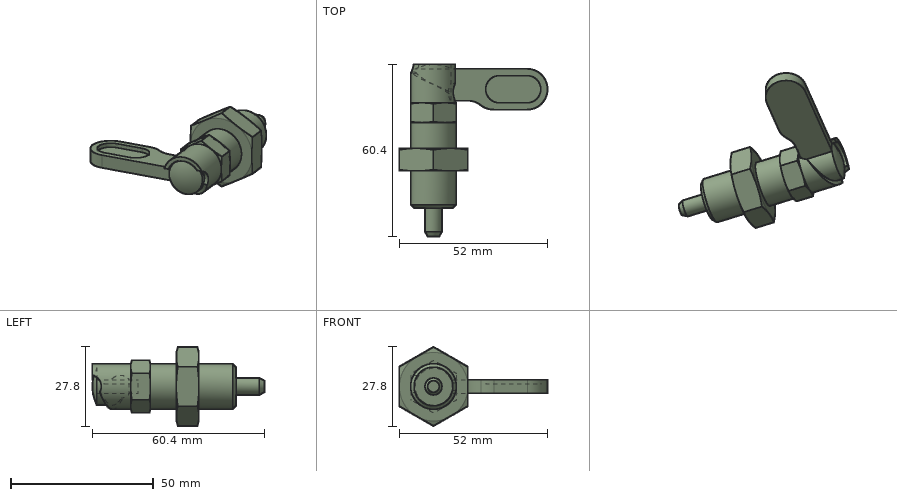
import cadquery as cq
import math


total_length = 60.4
body_radius = 16.0 / 2
body_end = 50.4
body_chamfer = 1.2
pin_radius = 6.0 / 2
pin_chamfer_length = 1.8
pin_chamfer_width = 0.95

collar_start = 13.5
collar_length = 6.9
collar_flats = 2 * body_radius
nut_start = 29.5
nut_length = 7.9
nut_flats = 24.05
hex_chamfer_angle = 16.0

core_radius = 13.0 / 2
dome_height = 1.6

lever_thickness = 4.85
lever_root_end = 12.8
lever_head_radius = 7.2
lever_tip = 40.0
lever_bend_start = 12.0
lever_bend_end = 21.1
pocket_rim = 2.4
pocket_left = 18.3
pocket_depth = 1.5

detent_radius = 4.0
raised_detent_depth = -0.8
lowered_detent_depth = 9.8
cam_start_depth = 1.75
cam_clearance = 1.2

rear_end = total_length / 2
rear_plane = cq.Plane(origin=(0, rear_end, 0), xDir=(1, 0, 0), normal=(0, -1, 0))


def axial_cylinder(radius, start, end):
    return cq.Workplane(rear_plane).workplane(offset=start).circle(radius).extrude(end - start)


def make_hexagon(flats, start, length):
    """Hexagon with both faces turned down to a circle that touches the flats."""
    flat_radius = flats / 2
    corner_radius = flat_radius / math.cos(math.pi / 6)
    drop = (corner_radius - flat_radius) * math.tan(math.radians(hex_chamfer_angle))
    prism = (
        cq.Workplane(rear_plane)
        .workplane(offset=start)
        .transformed(rotate=(0, 0, 90))
        .polygon(6, 2 * corner_radius)
        .extrude(length)
    )
    front = rear_end - start - length
    rear = rear_end - start
    turned = (
        cq.Workplane("XY")
        .moveTo(0, front)
        .lineTo(flat_radius, front)
        .lineTo(corner_radius, front + drop)
        .lineTo(corner_radius, rear - drop)
        .lineTo(flat_radius, rear)
        .lineTo(0, rear)
        .close()
        .revolve(360, (0, 0, 0), (0, 1, 0))
    )
    return prism.intersect(turned)


def make_body():
    barrel = axial_cylinder(body_radius, collar_start, body_end).faces("<Y").chamfer(body_chamfer)
    pin = axial_cylinder(pin_radius, collar_start, total_length)
    pin = pin.faces("<Y").chamfer(pin_chamfer_length, pin_chamfer_width)
    return barrel.union(pin)


def make_core():
    """Cylinder whose rear end is a shallow spherical dome."""
    sphere_radius = (core_radius**2 + dome_height**2) / (2 * dome_height)
    sphere = cq.Workplane("XY").sphere(sphere_radius).translate((0, rear_end - sphere_radius, 0))
    return axial_cylinder(core_radius, 0, collar_start).intersect(sphere)


def make_cam_cutter():
    """Helical half turn from -X, under the axis, to +X, open toward the rear."""
    pitch = 2 * (lowered_detent_depth - raised_detent_depth)
    inner = core_radius - cam_clearance
    outer = body_radius + cam_clearance
    helix = cq.Workplane(cq.Wire.makeHelix(pitch, pitch / 2, body_radius))
    cutter = (
        cq.Workplane("XZ")
        .moveTo(inner, 0)
        .lineTo(outer, 0)
        .lineTo(outer, -collar_start)
        .lineTo(inner, -collar_start)
        .close()
        .sweep(helix, isFrenet=True)
    )
    cutter = cutter.rotate((0, 0, 0), (0, 0, 1), 180)
    return cutter.rotate((0, 0, 0), (1, 0, 0), 90).translate((0, rear_end - cam_start_depth, 0))


def make_detent_cutter(depth, side):
    reach = body_radius + cam_clearance
    return (
        cq.Workplane("YZ")
        .center(rear_end - depth, 0)
        .circle(detent_radius)
        .extrude(side * reach)
    )


def make_sleeve():
    sleeve = axial_cylinder(body_radius, 0, collar_start).cut(axial_cylinder(core_radius, 0, collar_start))
    lever_slot = cq.Workplane("XY").box(
        body_radius + cam_clearance, lowered_detent_depth, lever_thickness, centered=(False, False, True)
    ).translate((0, rear_end - lowered_detent_depth, 0))
    sleeve = sleeve.cut(make_cam_cutter()).cut(lever_slot)
    sleeve = sleeve.cut(make_detent_cutter(raised_detent_depth, -1))
    return sleeve.cut(make_detent_cutter(lowered_detent_depth, 1))


def make_lever():
    """Flat lever along +X with an S-bend into a rounded head and a thumb pocket."""
    rear_edge = rear_end - dome_height
    root_edge = rear_end - lever_root_end
    head_edge = rear_edge - 2 * lever_head_radius
    head_x = lever_tip - lever_head_radius
    head_y = rear_edge - lever_head_radius
    bend_middle = ((lever_bend_start + lever_bend_end) / 2, (root_edge + head_edge) / 2)
    lever = (
        cq.Workplane("XY")
        .workplane(offset=-lever_thickness / 2)
        .moveTo(0, rear_edge)
        .lineTo(head_x, rear_edge)
        .threePointArc((lever_tip, head_y), (head_x, head_edge))
        .lineTo(lever_bend_end, head_edge)
        .tangentArcPoint(bend_middle, relative=False)
        .tangentArcPoint((lever_bend_start, root_edge), relative=False)
        .lineTo(0, root_edge)
        .close()
        .extrude(lever_thickness)
    )
    pocket_radius = lever_head_radius - pocket_rim
    pocket_right = head_x + pocket_radius
    pocket = (
        cq.Workplane("XY")
        .workplane(offset=lever_thickness / 2 - pocket_depth)
        .center((pocket_left + pocket_right) / 2, head_y)
        .slot2D(pocket_right - pocket_left, 2 * pocket_radius)
        .extrude(pocket_depth)
    )
    return lever.cut(pocket)


result = (
    make_body()
    .union(make_hexagon(collar_flats, collar_start, collar_length))
    .union(make_hexagon(nut_flats, nut_start, nut_length))
    .union(make_core())
    .union(make_sleeve())
    .union(make_lever())
)